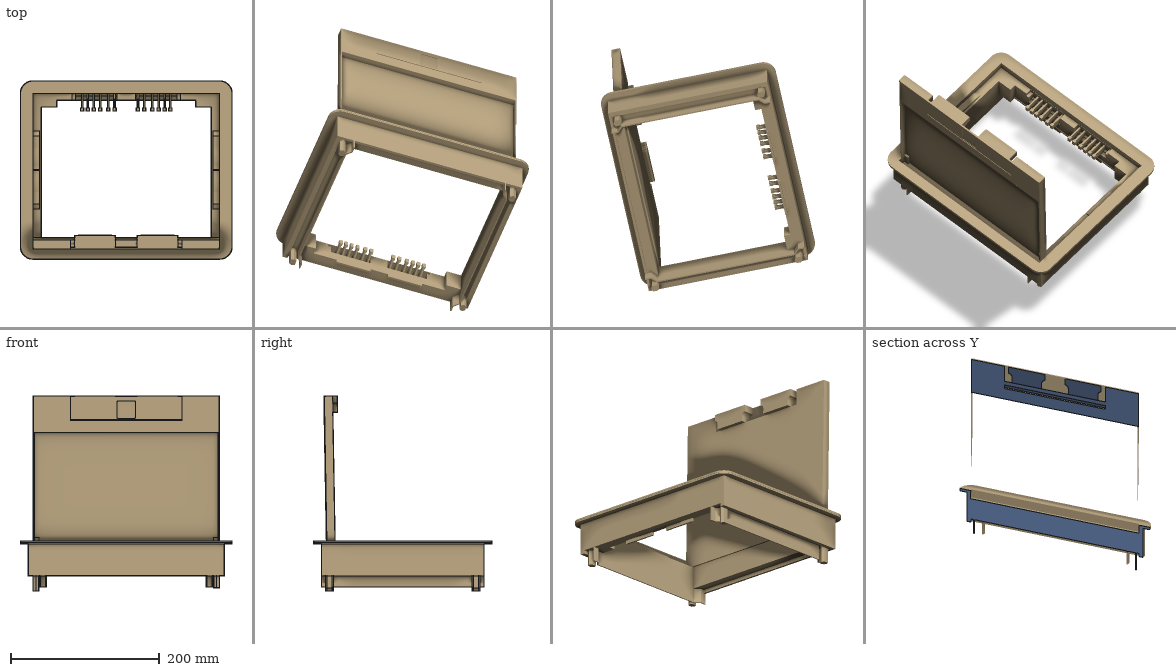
import cadquery as cq
import math


FLANGE_X = 285
FLANGE_Y = 240.0
FLANGE_RADIUS = 17
FLANGE_UPPER_THICK = 2.3
FLANGE_THICK = 4.3
FLANGE_INSET = 0.3

BODY_X = 264.0
BODY_Y = 219.0
BODY_DEPTH = 47.3
BACK_WALL_DEPTH = 42.8

OPENING_X = 250.8
OPENING_FRONT = -106.0
OPENING_BACK = 103.0

LEDGE_TOP = -12.0
LEDGE_BOTTOM = -BACK_WALL_DEPTH
WELL_X = 228
WELL_FRONT = -92.5
WELL_BACK = 93.2
CORNER_BLOCK_Y = 8.5
CORNER_BLOCK_X = 20.8
SHELF_TOP = -40.5
SHELF_STEP = 0.9

POCKET_INNER = 12.3
POCKET_OUTER = 68.5
POCKET_FLOOR = -28.2
SILL_FRONT = 99.8
SILL_TOP = -25.6
STEP_X = 4.3
STEP_TOP = -17
BLADE_PLACES = (15.7, 24.2, 35.0, 43.5, 51.5, 59.3)
BLADE_THICK = 2.3
BLADE_TOP = -16.2
BLADE_ROOT_HEIGHT = 14.2
BLADE_TIP_HEIGHT = 7.0
BLADE_TIP_Y = 79.2
BLADE_HEAD_LENGTH = 4.3
BLADE_HEAD_THICK = 4.5
TAB_OUTER = 61.0
TAB_THICK = 2.8

GRIP_X = 8.5
GRIP_GAP = 1.0
GRIP_HEIGHT = 2.8
GRIP_CREST_RISE = 1.0
GRIP_CREST_START = 4.8
GRIP_CREST_END = 29.5
GRIP_FLAT_END = 46.0
GRIP_END = 52.5

RAIL_THICK = 1.7
RAIL_BOTTOM = -62.5
RAIL_LIP_X = 8.5
RAIL_LIP_Y = 8.0
FOOT_PLACE_X = 121.5
FOOT_PLACE_Y = 98.5
FOOT_X = 8.0
FOOT_Y = 10.8
FOOT_POINT = 2.15
FOOT_BOTTOM_LEFT = -67.8
FOOT_BOTTOM_RIGHT = -63.3

LID_FRONT = -102.5
LID_TILT = 1
LID_X = OPENING_X
LID_THICK = 12.0
LID_HEIGHT = 206.5
LID_EDGE_CHAMFER = 0.9
INLAY_X = 247.5
INLAY_TOP = 157.3
INLAY_DEPTH = 8.8
STOP_X = 6.5
STOP_TOP = 16.5
STOP_THICK = 2.8

FLAP_X = 150.0
FLAP_BOTTOM = 174.7
FLAP_GAP = 1.0
FLAP_PLATE_THICK = 2.3
HOOD_INNER = 14.5
HOOD_OUTER = 69.5
HOOD_BACK = 18.2
HOOD_BOTTOM = 184.5
HOOD_RIM = 9.7
HOOD_UNDERCUT = 5.0
BUTTON_X = 24.8
BUTTON_BOTTOM = 176.7
BUTTON_TOP = 200.0
BUTTON_DEPTH = 0.5
BUTTON_RADIUS = 1.5


def block(x0, x1, y0, y1, z0, z1):
    """Box between two opposite corners."""
    return cq.Workplane("XY").box(x1 - x0, y1 - y0, z1 - z0, centered=False).translate((x0, y0, z0))


def mirrored_block(inner, outer, y0, y1, z0, z1):
    """Box at +X between two distances from the middle, and its mirror image at -X."""
    right = block(inner, outer, y0, y1, z0, z1)
    return right.union(right.mirror("YZ"))


def make_flange():
    lower_x = FLANGE_X - 2 * FLANGE_INSET
    lower_y = FLANGE_Y - 2 * FLANGE_INSET
    upper = cq.Workplane("XY").rect(FLANGE_X, FLANGE_Y).extrude(-FLANGE_UPPER_THICK)
    upper = upper.edges("|Z").fillet(FLANGE_RADIUS)
    lower = cq.Workplane("XY").rect(lower_x, lower_y).extrude(-FLANGE_THICK)
    lower = lower.edges("|Z").fillet(FLANGE_RADIUS - FLANGE_INSET)
    return upper.union(lower)


def make_shell():
    """Flange and walls with a ledge around the clear well."""
    half_opening = OPENING_X / 2
    half_well = WELL_X / 2
    walls = cq.Workplane("XY").rect(BODY_X, BODY_Y).extrude(-BODY_DEPTH)
    shell = make_flange().union(walls)

    opening = block(-half_opening, half_opening, OPENING_FRONT, OPENING_BACK, -FLANGE_UPPER_THICK, 0)
    above_ledge = block(
        -half_opening - FLANGE_INSET, half_opening + FLANGE_INSET,
        OPENING_FRONT - FLANGE_INSET, OPENING_BACK + FLANGE_INSET, LEDGE_TOP, -FLANGE_UPPER_THICK,
    )
    below_ledge = block(-half_opening, half_opening, OPENING_FRONT, BODY_Y / 2, -BODY_DEPTH, LEDGE_BOTTOM)
    well = block(-half_well, half_well, WELL_FRONT, WELL_BACK, LEDGE_BOTTOM, LEDGE_TOP)
    corner_blocks = mirrored_block(
        half_well - CORNER_BLOCK_X, half_well, WELL_BACK - CORNER_BLOCK_Y, WELL_BACK, LEDGE_BOTTOM, LEDGE_TOP
    )
    shelf_relief = block(
        CORNER_BLOCK_X - half_well, half_well - CORNER_BLOCK_X,
        WELL_BACK, WELL_BACK + SHELF_STEP, SHELF_TOP, LEDGE_TOP,
    )
    shell = shell.cut(opening).cut(above_ledge).cut(below_ledge)
    return shell.cut(well.cut(corner_blocks)).cut(shelf_relief)


def make_blade():
    """Tapered comb blade with a wider head at its tip, in the plane x = 0."""
    side = [
        (OPENING_BACK, BLADE_TOP),
        (BLADE_TIP_Y, BLADE_TOP),
        (BLADE_TIP_Y, BLADE_TOP - BLADE_TIP_HEIGHT),
        (OPENING_BACK, BLADE_TOP - BLADE_ROOT_HEIGHT),
    ]
    blade = cq.Workplane("YZ").polyline(side).close().extrude(BLADE_THICK / 2, both=True)
    head = block(
        -BLADE_HEAD_THICK / 2, BLADE_HEAD_THICK / 2,
        BLADE_TIP_Y, BLADE_TIP_Y + BLADE_HEAD_LENGTH, BLADE_TOP - BLADE_TIP_HEIGHT, BLADE_TOP,
    )
    return blade.union(head)


def add_combs(housing):
    """Two pockets in the back ledge, each with a row of blades and a tab below."""
    pockets = mirrored_block(POCKET_INNER, POCKET_OUTER, WELL_BACK, OPENING_BACK, POCKET_FLOOR, LEDGE_TOP)
    sills = mirrored_block(POCKET_INNER, POCKET_OUTER, SILL_FRONT, OPENING_BACK, POCKET_FLOOR, SILL_TOP)
    steps = mirrored_block(
        POCKET_OUTER, POCKET_OUTER + STEP_X, WELL_BACK, OPENING_BACK, STEP_TOP, LEDGE_TOP
    )
    tabs = mirrored_block(
        POCKET_INNER, TAB_OUTER, WELL_BACK, WELL_BACK + TAB_THICK, -BODY_DEPTH, LEDGE_BOTTOM
    )
    housing = housing.cut(pockets.cut(sills)).cut(steps).union(tabs)
    blade = make_blade()
    for place in BLADE_PLACES:
        for side in (-1, 1):
            housing = housing.union(blade.translate((side * place, 0, 0)))
    return housing


def make_grip(side):
    """Low bar with an arched crest and a sloping end, on one half of a side ledge."""
    top = LEDGE_TOP + GRIP_HEIGHT
    crest_middle = (GRIP_CREST_START + GRIP_CREST_END) / 2
    profile = (
        cq.Workplane("YZ")
        .moveTo(GRIP_GAP / 2, LEDGE_TOP)
        .lineTo(GRIP_GAP / 2, top)
        .lineTo(GRIP_CREST_START, top)
        .threePointArc((crest_middle, top + GRIP_CREST_RISE), (GRIP_CREST_END, top))
        .lineTo(GRIP_FLAT_END, top)
        .lineTo(GRIP_END, LEDGE_TOP)
        .close()
    )
    inner_face = OPENING_X / 2 - GRIP_X
    grip = profile.extrude(GRIP_X).translate((inner_face, 0, 0))
    return grip if side > 0 else grip.mirror("YZ")


def add_grips(housing):
    for side in (-1, 1):
        grip = make_grip(side)
        housing = housing.union(grip).union(grip.mirror("XZ"))
    return housing


def make_rail():
    """Sheet along the right side of the well with both ends bent inward at 45 degrees."""
    outer = WELL_X / 2 + RAIL_THICK
    inner = outer - RAIL_LIP_X
    end = BODY_Y / 2
    bend = end - RAIL_LIP_Y
    diagonal = RAIL_LIP_X - RAIL_THICK
    offset = RAIL_THICK * math.tan(math.radians(22.5))
    front_half = [
        (outer, 0),
        (outer, -bend + diagonal),
        (inner + RAIL_THICK, -bend),
        (inner + RAIL_THICK, -end),
        (inner, -end),
        (inner, -bend + offset),
        (outer - RAIL_THICK, -bend + diagonal + offset),
        (outer - RAIL_THICK, 0),
    ]
    height = LEDGE_BOTTOM - RAIL_BOTTOM
    half = cq.Workplane("XY").workplane(offset=RAIL_BOTTOM).polyline(front_half).close().extrude(height)
    return half.union(half.mirror("XZ"))


def make_foot(bottom):
    """Post with flat sides and a pointed front and back."""
    straight = FOOT_Y / 2 - FOOT_POINT
    outline = [
        (-FOOT_X / 2, -straight),
        (0, -FOOT_Y / 2),
        (FOOT_X / 2, -straight),
        (FOOT_X / 2, straight),
        (0, FOOT_Y / 2),
        (-FOOT_X / 2, straight),
    ]
    return cq.Workplane("XY").workplane(offset=bottom).polyline(outline).close().extrude(LEDGE_BOTTOM - bottom)


def add_rails_and_feet(housing):
    rail = make_rail()
    housing = housing.union(rail).union(rail.mirror("YZ"))
    for side, bottom in ((-1, FOOT_BOTTOM_LEFT), (1, FOOT_BOTTOM_RIGHT)):
        foot = make_foot(bottom)
        for end in (-1, 1):
            housing = housing.union(foot.translate((side * FOOT_PLACE_X, end * FOOT_PLACE_Y, 0)))
    return housing


def make_housing():
    housing = add_combs(make_shell())
    housing = add_grips(housing)
    return add_rails_and_feet(housing)


def place_on_ledge(part):
    """Tilt a part from the lid's local frame and stand it on the front ledge."""
    return part.rotate((0, 0, 0), (1, 0, 0), LID_TILT).translate((0, LID_FRONT, LEDGE_TOP))


def make_lid():
    half_flap = FLAP_X / 2
    half_inlay = INLAY_X / 2
    lid = block(-LID_X / 2, LID_X / 2, 0, LID_THICK, 0, LID_HEIGHT)
    lid = lid.faces("<Y").edges("|Z").chamfer(LID_EDGE_CHAMFER)

    inlay = block(-half_inlay, half_inlay, 0, INLAY_DEPTH, 0, INLAY_TOP)
    stops = mirrored_block(half_inlay - STOP_X, half_inlay, INLAY_DEPTH - STOP_THICK, INLAY_DEPTH, 0, STOP_TOP)
    lid = lid.cut(inlay).union(stops)

    plate_seat = block(-half_flap, half_flap, 0, FLAP_PLATE_THICK, FLAP_BOTTOM - FLAP_GAP, LID_HEIGHT)
    notch = block(-half_flap, half_flap, FLAP_PLATE_THICK, LID_THICK, HOOD_BOTTOM, LID_HEIGHT)
    return place_on_ledge(lid.cut(plate_seat).cut(notch))


def make_hood():
    """Right-hand hood whose sides step in below the rim with a hollow radius."""
    rim_bottom = LID_HEIGHT - HOOD_RIM
    hollow_bottom = rim_bottom - HOOD_UNDERCUT
    inner = HOOD_INNER + HOOD_UNDERCUT
    outer = HOOD_OUTER - HOOD_UNDERCUT
    profile = (
        cq.Workplane("XZ")
        .moveTo(HOOD_INNER, LID_HEIGHT)
        .lineTo(HOOD_OUTER, LID_HEIGHT)
        .lineTo(HOOD_OUTER, rim_bottom)
        .radiusArc((outer, hollow_bottom), -HOOD_UNDERCUT)
        .lineTo(outer, HOOD_BOTTOM)
        .lineTo(inner, HOOD_BOTTOM)
        .lineTo(inner, hollow_bottom)
        .radiusArc((HOOD_INNER, rim_bottom), -HOOD_UNDERCUT)
        .close()
    )
    return profile.extrude(FLAP_PLATE_THICK - HOOD_BACK).translate((0, FLAP_PLATE_THICK, 0))


def make_flap():
    """Front plate with two hoods reaching back through the lid's notch."""
    half_flap = FLAP_X / 2
    half_button = BUTTON_X / 2
    plate = block(-half_flap, half_flap, 0, FLAP_PLATE_THICK, FLAP_BOTTOM, LID_HEIGHT)
    hood = make_hood()
    button = block(-half_button, half_button, 0, BUTTON_DEPTH, BUTTON_BOTTOM, BUTTON_TOP)
    button = button.edges("|Y").fillet(BUTTON_RADIUS)
    return place_on_ledge(plate.union(hood).union(hood.mirror("YZ")).cut(button))


housing = make_housing()
lid = make_lid()
flap = make_flap()

result = cq.Compound.makeCompound([housing.val(), lid.val(), flap.val()])